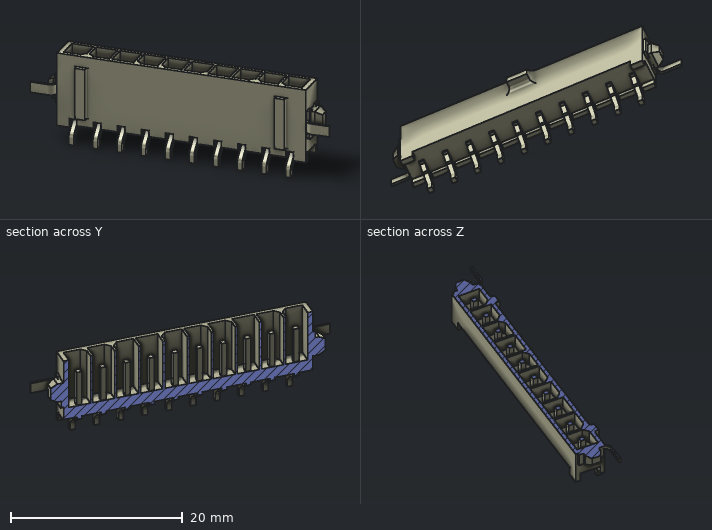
import cadquery as cq
import math


contact_count = 10
pitch = 3.0
pin_size = 0.64
first_pin_x = -pitch * (contact_count - 1) / 2

housing_length = 31.05
housing_depth = 3.81
housing_height = 9.2
mid_y = housing_depth / 2
end_x = housing_length / 2

cavity_size = 2.68
cavity_depth = 6.5
key_chamfer = 0.6
left_keyed = (1, 3, 4, 8, 9)
right_keyed = (0, 5, 7)

relief_height = 1.1
front_wall = 0.56
rear_foot = 0.65
front_wall_lift = 0.32
tail_slot_width = 0.95

front_projection = 0.56
rib_x = 12.43
rib_width = 1.23
rib_height = 6.4
rib_top_drop = 1.35
rib_root_radius = 0.22

latch_x = 0.0
latch_width = 2.6
latch_projection = 1.3
latch_height = 2.97
latch_ramp_height = 1.75
latch_root_radius = 0.67

overall_height = 11.16
tail_bottom_z = housing_height - overall_height
tail_upper_offset = 0.07
tail_outer_radius = 0.95
pin_tip_drop = 2.0
wedge_back_y = 2.37
wedge_shelf_z = 0.77
wedge_shelf_y = 2.02
wedge_bottom_z = 0.07

nail_thickness = 0.3
plate_width = 3.24
plate_height = 3.64
plate_corner_radius = 0.45
nail_drop = 4.58
nail_z = housing_height - nail_drop
tab_height = 1.34
tab_bend_radius = 0.55
nail_span = 37.25
nail_tip_x = nail_span / 2
nub_width = 2.06
nub_height = 2.54
nub_drop = 0.33
nub_straight = 0.45
nub_taper = 0.82
nub_tip_width = 1.12
nub_tip_height = 1.64
notch_width = 1.44
notch_corner_radius = 0.21


def block(x_range, y_range, z_range):
    """Axis-aligned box between the given limits."""
    (x0, x1), (y0, y1), (z0, z1) = x_range, y_range, z_range
    return cq.Workplane("XY").box(x1 - x0, y1 - y0, z1 - z0, centered=False).translate((x0, y0, z0))


def pin_x(index):
    return first_pin_x + index * pitch


def housing_with_latch():
    """Plain housing block with the filleted, ramped latch on its back."""
    body = block((-end_x, end_x), (0, housing_depth), (0, housing_height))
    latch_back = housing_depth + latch_projection
    latch_bottom = housing_height - latch_height
    half_width = latch_width / 2
    latch = block(
        (latch_x - half_width, latch_x + half_width),
        (mid_y, latch_back),
        (latch_bottom, housing_height),
    )
    margin = 0.1
    root_edges = cq.selectors.BoxSelector(
        (latch_x - half_width - margin, housing_depth - margin, latch_bottom - margin),
        (latch_x + half_width + margin, housing_depth + margin, housing_height - margin),
    )
    body = body.union(latch).edges(root_edges).fillet(latch_root_radius)
    ramp_cut = (
        cq.Workplane("YZ")
        .moveTo(housing_depth, housing_height)
        .lineTo(latch_back, housing_height - latch_ramp_height)
        .lineTo(latch_back, housing_height)
        .close()
        .extrude(latch_width, both=True)
        .translate((latch_x, 0, 0))
    )
    return body.cut(ramp_cut)


def cavity(index):
    """Square pocket with its keyed front corners cut off."""
    pocket = block(
        (-cavity_size / 2, cavity_size / 2),
        (mid_y - cavity_size / 2, mid_y + cavity_size / 2),
        (housing_height - cavity_depth, housing_height),
    )
    if index in left_keyed:
        pocket = pocket.edges("|Z and <X and <Y").chamfer(key_chamfer)
    if index in right_keyed:
        pocket = pocket.edges("|Z and >X and <Y").chamfer(key_chamfer)
    return pocket.translate((pin_x(index), 0, 0))


def underside_relief():
    """Volume removed under the row: channel, space under the front wall and one slot per tail."""
    slot_half = tail_slot_width / 2
    row_end = pin_x(contact_count - 1) + slot_half
    relief = block((-end_x, end_x), (front_wall, housing_depth - rear_foot), (0, relief_height))
    relief = relief.union(block((-row_end, row_end), (front_wall, housing_depth), (0, relief_height)))
    relief = relief.union(block((-row_end, row_end), (0, front_wall), (0, front_wall_lift)))
    for index in range(contact_count):
        x = pin_x(index)
        relief = relief.union(block((x - slot_half, x + slot_half), (0, front_wall), (0, relief_height)))
    return relief


def standoff_rib(x):
    """Vertical front rib with concave root fillets along both long sides."""
    half = rib_width / 2
    root = rib_root_radius
    arc_inset = root * (1 - math.sqrt(0.5))
    rib_top = housing_height - rib_top_drop
    return (
        cq.Workplane("XY")
        .moveTo(-half - root, 0)
        .threePointArc((-half - arc_inset, -arc_inset), (-half, -root))
        .lineTo(-half, -front_projection)
        .lineTo(half, -front_projection)
        .lineTo(half, -root)
        .threePointArc((half + arc_inset, -arc_inset), (half + root, 0))
        .close()
        .extrude(rib_height)
        .translate((x, 0, rib_top - rib_height))
    )


def contact():
    """Mating post, bent solder tail and the wedge under the tail, centred on X = 0."""
    post_front = mid_y - pin_size / 2
    post_back = mid_y + pin_size / 2
    tail_front = -front_projection
    tail_back = tail_front + pin_size
    tip_z = housing_height - pin_tip_drop
    lower_offset = tail_upper_offset + pin_size * math.sqrt(2)
    pin = (
        cq.Workplane("YZ")
        .moveTo(tail_front, tail_bottom_z)
        .lineTo(tail_front, tail_front - tail_upper_offset)
        .lineTo(post_front, post_front - tail_upper_offset)
        .lineTo(post_front, tip_z)
        .lineTo(post_back, tip_z)
        .lineTo(post_back, post_back - lower_offset)
        .lineTo(tail_back, tail_back - lower_offset)
        .lineTo(tail_back, tail_bottom_z)
        .close()
        .extrude(pin_size / 2, both=True)
    )
    outer_bend = cq.selectors.NearestToPointSelector((0, tail_front, tail_front - tail_upper_offset))
    inner_bend = cq.selectors.NearestToPointSelector((0, tail_back, tail_back - lower_offset))
    pin = pin.edges(outer_bend).fillet(tail_outer_radius)
    pin = pin.edges(inner_bend).fillet(tail_outer_radius - pin_size)
    wedge_front_y = wedge_shelf_y - (wedge_shelf_z - wedge_bottom_z)
    wedge = (
        cq.Workplane("YZ")
        .moveTo(wedge_back_y, relief_height)
        .lineTo(wedge_back_y, wedge_shelf_z)
        .lineTo(wedge_shelf_y, wedge_shelf_z)
        .lineTo(wedge_front_y, wedge_bottom_z)
        .lineTo(wedge_bottom_z + lower_offset, wedge_bottom_z)
        .lineTo(relief_height + lower_offset, relief_height)
        .close()
        .extrude(pin_size / 2, both=True)
    )
    return pin.union(wedge)


def left_nail():
    """Solder nail of the -X end: notched plate, tapered nub and bent solder tab."""
    plate_x = -end_x - nail_thickness
    plate_front = mid_y - plate_width / 2
    plate_bottom = nail_z - plate_height / 2
    nub_z = nail_z - nub_drop
    plate = block(
        (plate_x, -end_x),
        (plate_front, plate_front + plate_width),
        (plate_bottom, plate_bottom + plate_height),
    )
    plate = plate.edges("|X and >Z").fillet(plate_corner_radius)
    notch = block(
        (plate_x, -end_x),
        (mid_y - notch_width / 2, mid_y + notch_width / 2),
        (plate_bottom, nub_z - nub_height / 2),
    )
    notch = notch.edges("|X and >Z").fillet(notch_corner_radius)

    nub_base_length = nail_thickness + nub_straight
    nub_plane = cq.Workplane("YZ", origin=(-end_x, mid_y, nub_z))
    nub_base = nub_plane.rect(nub_width, nub_height).extrude(-nub_base_length)
    nub_tip = (
        nub_plane.workplane(offset=-nub_base_length)
        .rect(nub_width, nub_height)
        .workplane(offset=-nub_taper)
        .rect(nub_tip_width, nub_tip_height)
        .loft(ruled=True)
    )

    tab_back = nail_thickness - front_projection
    bend_x = plate_x - tab_bend_radius
    bend_y = tab_back + tab_bend_radius
    outer_radius = tab_bend_radius + nail_thickness
    diagonal = math.sqrt(0.5)
    tab = (
        cq.Workplane("XY")
        .moveTo(-nail_tip_x, -front_projection)
        .lineTo(bend_x, -front_projection)
        .threePointArc((bend_x + outer_radius * diagonal, bend_y - outer_radius * diagonal), (-end_x, bend_y))
        .lineTo(-end_x, mid_y)
        .lineTo(plate_x, mid_y)
        .lineTo(plate_x, bend_y)
        .threePointArc(
            (bend_x + tab_bend_radius * diagonal, bend_y - tab_bend_radius * diagonal),
            (bend_x, tab_back),
        )
        .lineTo(-nail_tip_x, tab_back)
        .close()
        .extrude(tab_height)
        .translate((0, 0, nail_z - tab_height / 2))
    )
    return plate.cut(notch).union(nub_base).union(nub_tip).union(tab)


result = housing_with_latch().cut(underside_relief())
for index in range(contact_count):
    result = result.cut(cavity(index))
for x in (-rib_x, rib_x):
    result = result.union(standoff_rib(x))
for index in range(contact_count):
    result = result.union(contact().translate((pin_x(index), 0, 0)))

nail = left_nail()
turned_nail = nail.rotate((0, 0, nail_z), (0, 1, nail_z), 180)
result = result.union(nail).union(turned_nail)